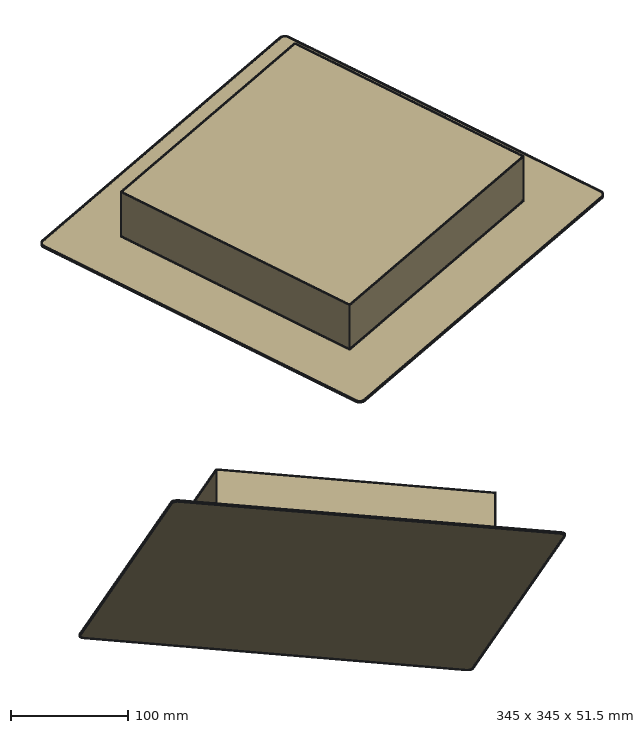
import cadquery as cq

plate_side = 345.0
plate_thickness = 1.5
corner_radius = 5.2

block_side = 245.0
total_height = 51.5
block_height = total_height - plate_thickness

plate = (
    cq.Workplane("XY")
    .rect(plate_side, plate_side)
    .extrude(plate_thickness)
    .edges("|Z")
    .fillet(corner_radius)
)

block = (
    cq.Workplane("XY")
    .workplane(offset=plate_thickness)
    .rect(block_side, block_side)
    .extrude(block_height)
)

result = plate.union(block)